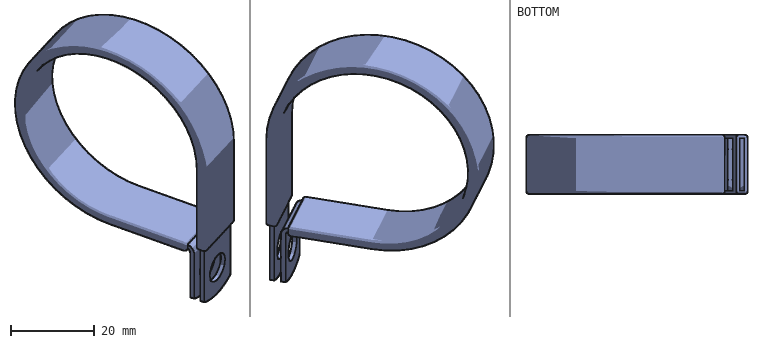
import cadquery as cq
import math

outer_radius = 26.6
overall_height = 68.6

cushion_thickness = 2.8
cushion_width = 14.3
cushion_rounding = 0.75
vertical_leg_end_z = -24.55
horizontal_leg_end_x = 21.1

strap_thickness = 1.2
strap_width = 12.55
bend_inner_radius = 1.1
bend_center_x = 20.7

hole_diameter = 7.3
hole_to_tip = 7.9
tip_sag = 1.45

inner_radius = outer_radius - cushion_thickness
mid_radius = outer_radius - cushion_thickness / 2
tip_z = outer_radius - overall_height
hole_z = tip_z + hole_to_tip


def band_profile(outside, inside):
    """Three-quarter ring with a straight leg on each end, in the XZ plane."""
    diagonal = math.sqrt(0.5)
    return (
        cq.Workplane("XZ")
        .moveTo(outside, vertical_leg_end_z)
        .lineTo(outside, 0)
        .threePointArc((-outside * diagonal, outside * diagonal), (0, -outside))
        .lineTo(horizontal_leg_end_x, -outside)
        .lineTo(horizontal_leg_end_x, -inside)
        .lineTo(0, -inside)
        .threePointArc((-inside * diagonal, inside * diagonal), (inside, 0))
        .lineTo(inside, vertical_leg_end_z)
        .close()
    )


def cushion():
    """Band with every outer edge rounded, including both leg ends."""
    band = band_profile(outer_radius, inner_radius).extrude(cushion_width / 2, both=True)
    side_edges = band.faces("|Y").edges()
    vertical_end = band.faces(cq.NearestToPointSelector((mid_radius, 0, vertical_leg_end_z)))
    horizontal_end = band.faces(cq.NearestToPointSelector((horizontal_leg_end_x, 0, -mid_radius)))
    end_edges = vertical_end.edges("|Y").add(horizontal_end.edges("|Y"))
    return side_edges.add(end_edges).fillet(cushion_rounding)


def straight_tab():
    """Strap continuing straight down out of the vertical leg."""
    length = vertical_leg_end_z + cushion_rounding - tip_z
    return (
        cq.Workplane("XY", origin=(mid_radius, 0, tip_z))
        .rect(strap_thickness, strap_width)
        .extrude(length)
    )


def bent_tab():
    """Strap leaving the horizontal leg and bending down beside the straight tab."""
    bend_outer_radius = bend_inner_radius + strap_thickness
    bend_center_z = -mid_radius + strap_thickness / 2 - bend_outer_radius
    start_x = horizontal_leg_end_x - cushion_rounding

    def bend_point(radius, angle):
        return (
            bend_center_x + radius * math.cos(angle),
            bend_center_z + radius * math.sin(angle),
        )

    straight_down = 0
    halfway = math.pi / 4
    level = math.pi / 2
    return (
        cq.Workplane("XZ")
        .moveTo(start_x, bend_center_z + bend_outer_radius)
        .lineTo(*bend_point(bend_outer_radius, level))
        .threePointArc(bend_point(bend_outer_radius, halfway), bend_point(bend_outer_radius, straight_down))
        .lineTo(bend_center_x + bend_outer_radius, tip_z)
        .lineTo(bend_center_x + bend_inner_radius, tip_z)
        .lineTo(*bend_point(bend_inner_radius, straight_down))
        .threePointArc(bend_point(bend_inner_radius, halfway), bend_point(bend_inner_radius, level))
        .lineTo(start_x, bend_center_z + bend_inner_radius)
        .close()
        .extrude(strap_width / 2, both=True)
    )


def tab_outline():
    """Prism along X that gives both tabs their curved tip and bolt hole."""
    half_width = strap_width / 2
    prism = (
        cq.Workplane("YZ")
        .moveTo(-half_width, 0)
        .lineTo(-half_width, tip_z + tip_sag)
        .threePointArc((0, tip_z), (half_width, tip_z + tip_sag))
        .lineTo(half_width, 0)
        .close()
        .extrude(outer_radius)
    )
    hole = (
        cq.Workplane("YZ")
        .center(0, hole_z)
        .circle(hole_diameter / 2)
        .extrude(outer_radius)
    )
    return prism.cut(hole)


tabs = straight_tab().add(bent_tab()).combine().intersect(tab_outline())
result = cushion().union(tabs)